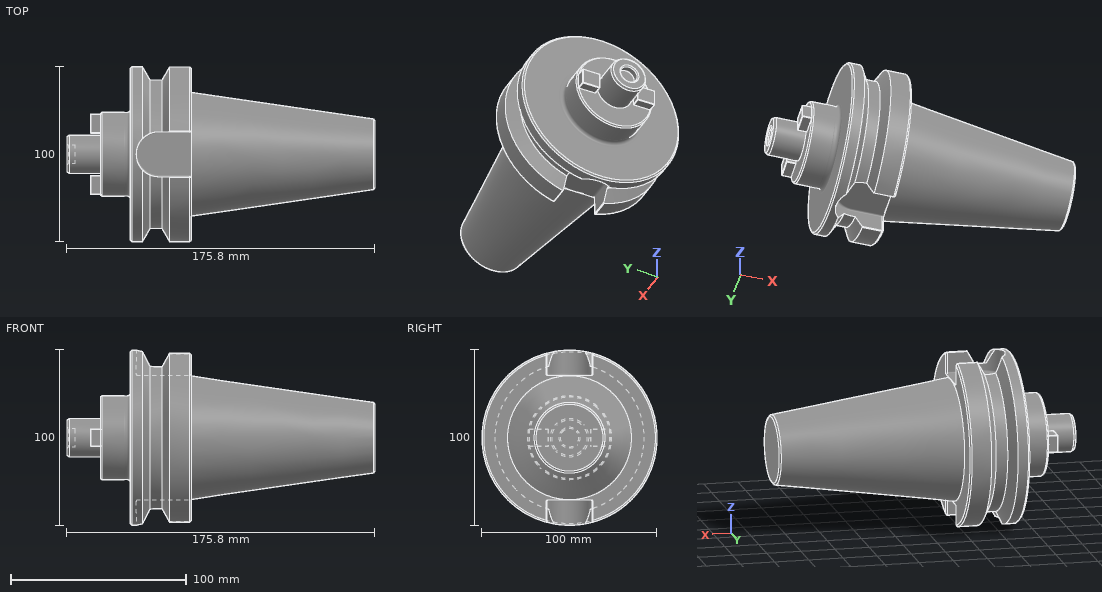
import cadquery as cq
import math


gauge_diameter = 69.85
taper_ratio = 7 / 24
taper_length = 101.8
taper_end_chamfer = 1.0

flange_diameter = 100.0
flange_front = -38.0
flange_rear = -3.0
flange_chamfer = 1.0
groove_center = -23.2
groove_floor_diameter = 85.0
groove_floor_width = 6.8
groove_side_angle = 30.0

slot_width = 25.7
slot_floor_height = 35.4
slot_front = -34.5
slot_floor_fillet = 1.0
slot_edge_chamfer = 0.5
slot_rear_chamfer_length = 1.0

boss_diameter = 48.0
boss_face = -55.0
boss_chamfer_length = 1.0
boss_chamfer_depth = 0.75
neck_diameter = 47.8

neck_front = -41.4
neck_lead_in_angle = 15.0
relief_radius = 2.0
relief_depth = 0.1
relief_face_angle = 8.0

pilot_diameter = 22.0
pilot_tip = -74.0
pilot_chamfer_length = 1.5
pilot_chamfer_depth = 0.9
pilot_bore_diameter = 10.5
pilot_bore_depth = 4.5
pilot_bore_chamfer = 0.75

key_width = 10.0
key_height = 5.6
key_inner_radius = 12.0
key_outer_radius = 23.0
key_chamfer = 0.3


def make_body():
    """Revolve the half profile of the whole holder about X."""
    pilot_radius = pilot_diameter / 2
    boss_radius = boss_diameter / 2
    neck_radius = neck_diameter / 2
    flange_radius = flange_diameter / 2
    groove_radius = groove_floor_diameter / 2
    groove_half_floor = groove_floor_width / 2
    groove_run = (flange_radius - groove_radius) * math.tan(math.radians(groove_side_angle))
    groove_half_mouth = groove_half_floor + groove_run

    lead_in_length = (boss_radius - neck_radius) / math.tan(math.radians(neck_lead_in_angle))
    relief_center_x = flange_front + relief_depth - relief_radius
    relief_center_r = neck_radius + relief_radius

    def relief_arc_point(angle):
        """Point on the relief arc, at an angle in degrees up from the +X direction."""
        direction = math.radians(angle)
        return (
            relief_center_x + relief_radius * math.cos(direction),
            relief_center_r + relief_radius * math.sin(direction),
        )

    relief_arc_end = relief_arc_point(relief_face_angle)
    relief_face_rise = (relief_arc_end[0] - flange_front) / math.tan(math.radians(relief_face_angle))
    relief_outer_radius = relief_arc_end[1] + relief_face_rise

    taper_slope = taper_ratio / 2
    taper_start_radius = gauge_diameter / 2 - flange_rear * taper_slope
    taper_end_radius = gauge_diameter / 2 - taper_length * taper_slope
    chamfer_start = taper_length - taper_end_chamfer
    profile = (
        cq.Workplane("XY")
        .moveTo(pilot_tip, 0)
        .lineTo(pilot_tip, pilot_radius - pilot_chamfer_depth)
        .lineTo(pilot_tip + pilot_chamfer_length, pilot_radius)
        .lineTo(boss_face, pilot_radius)
        .lineTo(boss_face, boss_radius - boss_chamfer_depth)
        .lineTo(boss_face + boss_chamfer_length, boss_radius)
        .lineTo(neck_front, boss_radius)
        .lineTo(neck_front + lead_in_length, neck_radius)
        .lineTo(*relief_arc_point(-90))
        .threePointArc(relief_arc_point(-45), relief_arc_end)
        .lineTo(flange_front, relief_outer_radius)
        .lineTo(flange_front, flange_radius - flange_chamfer)
        .lineTo(flange_front + flange_chamfer, flange_radius)
        .lineTo(groove_center - groove_half_mouth, flange_radius)
        .lineTo(groove_center - groove_half_floor, groove_radius)
        .lineTo(groove_center + groove_half_floor, groove_radius)
        .lineTo(groove_center + groove_half_mouth, flange_radius)
        .lineTo(flange_rear - flange_chamfer, flange_radius)
        .lineTo(flange_rear, flange_radius - flange_chamfer)
        .lineTo(flange_rear, taper_start_radius)
        .lineTo(chamfer_start, gauge_diameter / 2 - chamfer_start * taper_slope)
        .lineTo(taper_length, taper_end_radius - taper_end_chamfer)
        .lineTo(taper_length, 0)
        .close()
    )
    return profile.revolve(360, (0, 0, 0), (1, 0, 0))


def make_slot_cutter():
    """Round-ended cutter for the upper drive slot, flared at the rear face and along its top edges."""
    half_width = slot_width / 2
    flared_half_width = half_width + slot_edge_chamfer
    arc_center = slot_front + half_width
    flare_start = flange_rear - slot_rear_chamfer_length
    slot = (
        cq.Workplane("XY")
        .workplane(offset=slot_floor_height)
        .moveTo(flange_rear, -flared_half_width)
        .lineTo(flare_start, -half_width)
        .lineTo(arc_center, -half_width)
        .threePointArc((slot_front, 0), (arc_center, half_width))
        .lineTo(flare_start, half_width)
        .lineTo(flange_rear, flared_half_width)
        .close()
        .extrude(flange_diameter / 2 - slot_floor_height)
        .faces("<Z")
        .edges("not >X")
        .fillet(slot_floor_fillet)
    )
    flare_top = flange_diameter / 2
    flare_bottom = math.sqrt(flare_top**2 - half_width**2) - slot_edge_chamfer
    top_half_width = half_width + flare_top - flare_bottom
    top_flare = (
        cq.Workplane("YZ")
        .workplane(offset=groove_center)
        .moveTo(-half_width, flare_bottom)
        .lineTo(half_width, flare_bottom)
        .lineTo(top_half_width, flare_top)
        .lineTo(-top_half_width, flare_top)
        .close()
        .extrude(flange_rear - groove_center)
    )
    return slot.union(top_flare)


def make_pilot_bore():
    """Blind bore in the pilot tip with a chamfered mouth."""
    bore_radius = pilot_bore_diameter / 2
    return (
        cq.Workplane("XY")
        .moveTo(pilot_tip, 0)
        .lineTo(pilot_tip, bore_radius + pilot_bore_chamfer)
        .lineTo(pilot_tip + pilot_bore_chamfer, bore_radius)
        .lineTo(pilot_tip + pilot_bore_depth, bore_radius)
        .lineTo(pilot_tip + pilot_bore_depth, 0)
        .close()
        .revolve(360, (0, 0, 0), (1, 0, 0))
    )


def make_key():
    """Drive key standing on the boss face on the +Y side."""
    key_length = key_outer_radius - key_inner_radius
    key_root = boss_face + boss_chamfer_length
    key_front = boss_face - key_height
    key = cq.Workplane("XY").box(
        key_root - key_front, key_length, key_width, centered=(False, False, True)
    )
    return key.edges("|X or <X").chamfer(key_chamfer).translate((key_front, key_inner_radius, 0))


result = make_body().cut(make_pilot_bore())
slot_cutter = make_slot_cutter()
key = make_key()
for turn in (0, 180):
    result = result.cut(slot_cutter.rotate((0, 0, 0), (1, 0, 0), turn))
    result = result.union(key.rotate((0, 0, 0), (1, 0, 0), turn))